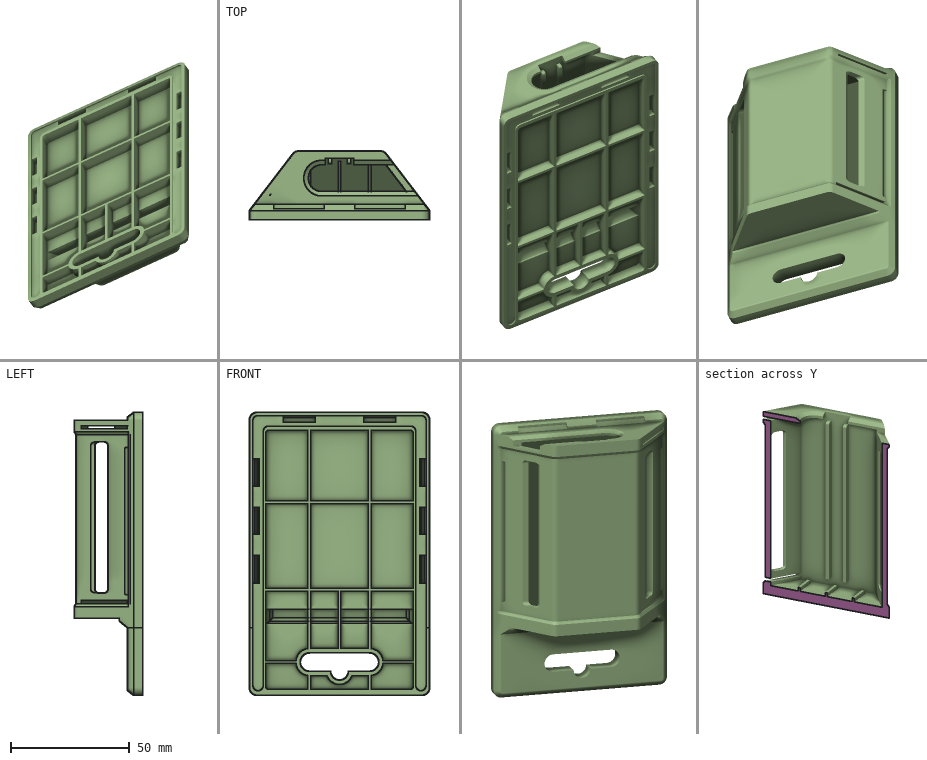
import cadquery as cq
import math

PLATE_WIDTH = 76.0
PLATE_HEIGHT = 119.4
PLATE_CORNER_RADIUS = 3.3
PLATE_EDGE_DEPTH = 3.8
PLATE_BACK = 6.6
PLATE_BACK_FILLET = 1.0
HALF_WIDTH = PLATE_WIDTH / 2

HOUSING_BACK = 29.0
HOUSING_BACK_HALF_WIDTH = 18.7
HOUSING_TOP = 116.0
HOUSING_BOTTOM = 32.5
BACK_CORNER_RADIUS = 3.0
SIDE_SLOPE = (HALF_WIDTH - HOUSING_BACK_HALF_WIDTH) / (HOUSING_BACK - PLATE_EDGE_DEPTH)
SIDE_ANGLE = math.atan(SIDE_SLOPE)

SEAM = 28.5
GUSSET_BACK = 10.0
GUSSET_RISE = 2.9

RECESS_DEPTH = 0.78
RECESS_BOTTOM = 37.5
RECESS_TOP = 111.1
RECESS_RAMP = 1.2
RECESS_FRONT = 5.4
RECESS_FLOOR_FRONT = 6.2

CAVITY_SIDE_WALL = 3.7
CAVITY_BACK = 25.9
CAVITY_BOTTOM = 37.0
CAVITY_TOP = 113.6
GUSSET_WALL = 1.7
HOLLOW_BACK = GUSSET_BACK - GUSSET_WALL
MOUTH_HALF_WIDTH = HALF_WIDTH - CAVITY_SIDE_WALL

OPENING_FRONT = 11.9
OPENING_BACK = 23.2
OPENING_CENTRE_X = -7.5
OPENING_BOTTOM = 112.1
OPENING_BEVEL_WIDTH = 1.9
OPENING_BEVEL_DEPTH = 1.2
LIP_NOTCH_HALF_WIDTH = 6.0
POST_X = 4.0
POST_WIDTH = 1.5
POST_FRONT = 23.6
POST_BOTTOM = 40.6
POST_TOP = 112.3
POST_FILLET = 1.1
FLOOR_RIB_BACK = 24.7
FLOOR_RIB_HEIGHT = 1.7
FLOOR_RIB_FILLET = 1.5

SIDE_SLOT_FRONT = 14.8
SIDE_SLOT_BACK = 20.2
SIDE_SLOT_LEDGE_BACK = 22.0
SIDE_SLOT_BOTTOM = 43.2
SIDE_SLOT_TOP = 106.8
SIDE_SLOT_RADIUS = 1.5
SIDE_SLOT_LEDGE_FRONT = 17.9
SIDE_NOTCH_FRONT = 6.1
SIDE_NOTCH_BACK = 7.8
SIDE_NOTCH_BOTTOM = 42.5
SIDE_NOTCH_TOP = 104.6
SIDE_NOTCH_RADIUS = 0.7
SLIT_SPANS = [(38.7, 40.1), (112.5, CAVITY_TOP)]

EDGE_NOTCH_INNER = 6.5
EDGE_NOTCH_OUTER = 27.7
EDGE_NOTCH_FRONT = 4.7
EDGE_NOTCH_DEPTH = 1.0

RIM = 1.5
GROOVE_DEPTH = 0.6
GROOVE_WIDTH = 4.3
GROOVE_BOTTOM = 2.0
PAD_CORNER_RADIUS = 2.4
PANEL_HALF_WIDTH = HALF_WIDTH - RIM
PANEL_TOP = PLATE_HEIGHT - RIM
PANEL_CORNER_RADIUS = PLATE_CORNER_RADIUS - RIM

CELL_HALF_WIDTH = 31.0
CELL_BOTTOM = 2.6
CELL_TOP = 111.7
CELL_FLOOR = 4.5
CELL_CORNER_RADIUS = 1.2
RIB_WIDTH = 1.2
RIB_X = 12.8
CROSS_RIB_UPPER = 81.4
CROSS_RIB_MIDDLE = 44.5
HOLLOW_BOTTOM = 30.5
HOLLOW_TOP = 36.3
HOLLOW_LEDGE = 1.0

KEYHOLE_Z = 14.1
KEYHOLE_LENGTH = 33.0
KEYHOLE_HEIGHT = 7.6
KEYHOLE_NOTCH_RADIUS = 3.7
KEYHOLE_WALL = 1.9

SIDE_WINDOW_SPANS = [(47.4, 59.1), (68.0, 79.3), (88.2, 99.7)]
SIDE_WINDOW_INNER = 33.9
CATCH_OUTER = 35.8
CATCH_APEX = 34.6
CATCH_DEPTH = 1.4
TOP_WINDOW_INNER = 10.3
TOP_WINDOW_OUTER = 23.8
TOP_WINDOW_BOTTOM = 115.2
WEDGE_HEIGHT = 0.8
WEDGE_DEPTH = 0.6

SIDES = (-1, 1)


def block(x_span, y_span, z_span):
    """Box between two limits on each axis."""
    spans = (x_span, y_span, z_span)
    size = [max(span) - min(span) for span in spans]
    corner = cq.Vector(*[min(span) for span in spans])
    return cq.Workplane(cq.Solid.makeBox(*size, corner))


def rounded_slab(half_width, z_span, y_span, radius):
    """Block with its four corners rounded as seen along Y."""
    return block((-half_width, half_width), y_span, z_span).edges("|Y").fillet(radius)


def prism_along_x(points, x_span):
    """Prism along X from a (Y, Z) outline."""
    start, end = min(x_span), max(x_span)
    return cq.Workplane("YZ", origin=(start, 0, 0)).polyline(points).close().extrude(end - start)


def outer_half_width(y):
    """Half width of the sloping outside at depth y."""
    return HALF_WIDTH - SIDE_SLOPE * (y - PLATE_EDGE_DEPTH)


def bevelled_plate():
    """Whole plate with its straight edge and the bevel behind it."""
    depth = PLATE_BACK - PLATE_EDGE_DEPTH
    plane = cq.Plane(origin=(0, PLATE_EDGE_DEPTH, PLATE_HEIGHT / 2), xDir=(-1, 0, 0), normal=(0, 1, 0))
    outline = cq.Sketch().rect(PLATE_WIDTH, PLATE_HEIGHT).vertices().fillet(PLATE_CORNER_RADIUS)
    edge = cq.Workplane(plane).placeSketch(outline).extrude(-PLATE_EDGE_DEPTH)
    bevel = cq.Workplane(plane).placeSketch(outline).extrude(depth, taper=math.degrees(SIDE_ANGLE))
    return edge.union(bevel)


def panel():
    """Part of the back plate that lies inside the housing rim."""
    bottom = SEAM - 2 * PANEL_CORNER_RADIUS
    slab = rounded_slab(PANEL_HALF_WIDTH, (bottom, PANEL_TOP), (0, PLATE_EDGE_DEPTH), PANEL_CORNER_RADIUS)
    return slab.intersect(above_seam())


def above_seam():
    """Space above the seam, as wide and deep as the whole part."""
    return block((-HALF_WIDTH, HALF_WIDTH), (0, HOUSING_BACK), (SEAM, PLATE_HEIGHT))


def tapered_slice(front_half_width, y_span, z_span):
    """Block whose sides close in towards the back as steeply as the outside."""
    front, back = y_span
    bottom, top = z_span
    back_half_width = front_half_width - SIDE_SLOPE * (back - front)
    outline = [
        (-front_half_width, front),
        (front_half_width, front),
        (back_half_width, back),
        (-back_half_width, back),
    ]
    return cq.Workplane("XY", origin=(0, 0, bottom)).polyline(outline).close().extrude(top - bottom)


def tray():
    """Raised rear part of the back plate that plugs the mouth of the cavity."""
    return tapered_slice(MOUTH_HALF_WIDTH, (PLATE_EDGE_DEPTH, PLATE_BACK), (SEAM, CAVITY_TOP))


def gusset_hollow():
    """Hollow that sinks through the recess floor into the gusset, sloping like its outside."""
    slope_start = CELL_FLOOR + HOLLOW_LEDGE
    slope_rise = (HOLLOW_BACK - slope_start) * GUSSET_RISE / (GUSSET_BACK - PLATE_BACK)
    outline = [
        (CELL_FLOOR, HOLLOW_BOTTOM),
        (slope_start, HOLLOW_BOTTOM),
        (HOLLOW_BACK, HOLLOW_BOTTOM + slope_rise),
        (HOLLOW_BACK, HOLLOW_TOP),
        (CELL_FLOOR, HOLLOW_TOP),
    ]
    hollow = prism_along_x(outline, (-HALF_WIDTH, HALF_WIDTH))
    return hollow.intersect(tapered_slice(CELL_HALF_WIDTH, (CELL_FLOOR, HOLLOW_BACK), (SEAM, HOLLOW_TOP)))


def side_catches():
    """V-shaped hollows behind the side windows."""
    tools = cq.Workplane()
    for side in SIDES:
        outline = [
            (side * SIDE_WINDOW_INNER, PLATE_EDGE_DEPTH),
            (side * CATCH_APEX, PLATE_EDGE_DEPTH + CATCH_DEPTH),
            (side * CATCH_OUTER, PLATE_EDGE_DEPTH),
        ]
        for bottom, top in SIDE_WINDOW_SPANS:
            profile = cq.Workplane("XY", origin=(0, 0, bottom)).polyline(outline).close()
            tools = tools.add(profile.extrude(top - bottom))
    return tools.combine()


def housing_section(z, inset):
    """Closed outline across the housing; inset sinks the sides and back into the recess."""
    side_inset = inset / math.cos(SIDE_ANGLE)
    back = HOUSING_BACK - inset
    corner_x = outer_half_width(back) - side_inset
    turn = math.pi / 2 - SIDE_ANGLE
    tangent = BACK_CORNER_RADIUS * math.tan(turn / 2)
    centre = (corner_x - tangent, back - BACK_CORNER_RADIUS)
    arc_start = (corner_x + tangent * math.sin(SIDE_ANGLE), back - tangent * math.cos(SIDE_ANGLE))
    arc_middle = (
        centre[0] + BACK_CORNER_RADIUS * math.sin(turn / 2),
        centre[1] + BACK_CORNER_RADIUS * math.cos(turn / 2),
    )
    arc_end = (centre[0], back)

    def mirrored(point):
        return (-point[0], point[1])

    front = (HALF_WIDTH, PLATE_EDGE_DEPTH)
    step_start = (outer_half_width(RECESS_FRONT), RECESS_FRONT)
    step_end = (outer_half_width(RECESS_FLOOR_FRONT) - side_inset, RECESS_FLOOR_FRONT)
    outline = (
        cq.Workplane("XY", origin=(0, 0, z))
        .moveTo(*front)
        .lineTo(*step_start)
        .lineTo(*step_end)
        .lineTo(*arc_start)
        .threePointArc(arc_middle, arc_end)
        .lineTo(*mirrored(arc_end))
        .threePointArc(mirrored(arc_middle), mirrored(arc_start))
        .lineTo(*mirrored(step_end))
        .lineTo(*mirrored(step_start))
        .lineTo(*mirrored(front))
        .close()
    )
    return outline.val()


def housing_block():
    """Solid trapezoid with the wrap-round recess and the gusset under it."""
    sections = [
        housing_section(SEAM, 0),
        housing_section(RECESS_BOTTOM, 0),
        housing_section(RECESS_BOTTOM + RECESS_RAMP, RECESS_DEPTH),
        housing_section(RECESS_TOP - RECESS_RAMP, RECESS_DEPTH),
        housing_section(RECESS_TOP, 0),
        housing_section(HOUSING_TOP, 0),
    ]
    body = cq.Workplane(cq.Solid.makeLoft(sections, True))
    under_gusset = [
        (PLATE_BACK, SEAM),
        (GUSSET_BACK, SEAM + GUSSET_RISE),
        (GUSSET_BACK, HOUSING_BOTTOM),
        (HOUSING_BACK, HOUSING_BOTTOM),
        (HOUSING_BACK, SEAM),
    ]
    return body.cut(prism_along_x(under_gusset, (-HALF_WIDTH, HALF_WIDTH)))


def opening_outline(z, margin):
    """Slot outline, round at its -X end and running out past the +X side."""
    radius = (OPENING_BACK - OPENING_FRONT) / 2 + margin
    middle = (OPENING_BACK + OPENING_FRONT) / 2
    return (
        cq.Workplane("XY", origin=(0, 0, z))
        .moveTo(PLATE_WIDTH, middle - radius)
        .lineTo(OPENING_CENTRE_X, middle - radius)
        .threePointArc((OPENING_CENTRE_X - radius, middle), (OPENING_CENTRE_X, middle + radius))
        .lineTo(PLATE_WIDTH, middle + radius)
        .close()
    )


def top_opening():
    """Slot through the top wall with its bevelled edge and the notch in its rear lip."""
    slot = opening_outline(OPENING_BOTTOM, 0).extrude(HOUSING_TOP - OPENING_BOTTOM)
    bevel_start = opening_outline(HOUSING_TOP - OPENING_BEVEL_DEPTH, 0).val()
    bevel_end = opening_outline(HOUSING_TOP, OPENING_BEVEL_WIDTH).val()
    bevel = cq.Workplane(cq.Solid.makeLoft([bevel_start, bevel_end], True))
    notch = block(
        (-LIP_NOTCH_HALF_WIDTH, LIP_NOTCH_HALF_WIDTH),
        (OPENING_FRONT, CAVITY_BACK),
        (OPENING_BOTTOM, HOUSING_TOP),
    )
    return slot.union(bevel).union(notch)


def side_openings(side):
    """Long slot and front notch of one sloping side, each with an upright inner ledge."""
    outside = side * HALF_WIDTH
    slot = block((0, outside), (SIDE_SLOT_FRONT, SIDE_SLOT_BACK), (SIDE_SLOT_BOTTOM, SIDE_SLOT_TOP))
    slot = slot.edges("|X").fillet(SIDE_SLOT_RADIUS)
    recess_inset = RECESS_DEPTH / math.cos(SIDE_ANGLE)

    def ledge(y_span, z_span, radius):
        inner_x = outer_half_width(max(y_span)) - recess_inset
        return block((side * inner_x, outside), y_span, z_span).edges("|Y").fillet(radius)

    slot_depth = (SIDE_SLOT_LEDGE_FRONT, SIDE_SLOT_LEDGE_BACK)
    slot_ledge = ledge(slot_depth, (SIDE_SLOT_BOTTOM, SIDE_SLOT_TOP), SIDE_SLOT_RADIUS)
    notch_depth = (SIDE_NOTCH_FRONT, SIDE_NOTCH_BACK)
    notch = ledge(notch_depth, (SIDE_NOTCH_BOTTOM, SIDE_NOTCH_TOP), SIDE_NOTCH_RADIUS)
    return slot.union(slot_ledge).union(notch)


def edge_notch(side):
    """Sunken strip in the bevel along the top edge."""
    def bevel_z(y):
        return PLATE_HEIGHT - SIDE_SLOPE * (y - PLATE_EDGE_DEPTH)

    outline = [
        (EDGE_NOTCH_FRONT, PLATE_HEIGHT),
        (EDGE_NOTCH_FRONT, bevel_z(EDGE_NOTCH_FRONT) - EDGE_NOTCH_DEPTH),
        (GUSSET_BACK, bevel_z(GUSSET_BACK) - EDGE_NOTCH_DEPTH),
        (GUSSET_BACK, PLATE_HEIGHT),
    ]
    tool = prism_along_x(outline, (side * EDGE_NOTCH_INNER, side * EDGE_NOTCH_OUTER))
    floor_end = PLATE_EDGE_DEPTH + (PLATE_HEIGHT - EDGE_NOTCH_DEPTH - HOUSING_TOP) / SIDE_SLOPE
    return tool.intersect(block((-HALF_WIDTH, HALF_WIDTH), (0, floor_end), (0, PLATE_HEIGHT)))


def post(side):
    """Upright rib on the rear wall of the cavity."""
    x = side * POST_X
    body = block(
        (x - POST_WIDTH / 2, x + POST_WIDTH / 2),
        (POST_FRONT, CAVITY_BACK),
        (POST_BOTTOM, POST_TOP),
    )
    return body.edges("|X and >Z and <Y").fillet(POST_FILLET)


def floor_rib(x):
    """Low rib on the cavity floor with a rounded rear end."""
    body = block(
        (x - RIB_WIDTH / 2, x + RIB_WIDTH / 2),
        (HOLLOW_BACK, FLOOR_RIB_BACK),
        (CAVITY_BOTTOM, CAVITY_BOTTOM + FLOOR_RIB_HEIGHT),
    )
    return body.edges("|X and >Z and >Y").fillet(FLOOR_RIB_FILLET)


def top_wedge(side):
    """Small slope under the rim inside a top window."""
    outline = [
        (PLATE_EDGE_DEPTH, PANEL_TOP),
        (PLATE_EDGE_DEPTH - WEDGE_DEPTH, PANEL_TOP),
        (PLATE_EDGE_DEPTH, PANEL_TOP - WEDGE_HEIGHT),
    ]
    return prism_along_x(outline, (side * TOP_WINDOW_INNER, side * TOP_WINDOW_OUTER))


def rim():
    """Upper part of the plate; its bevel gives way to the recess along the sides."""
    plate = bevelled_plate().intersect(above_seam())
    bevel_depth = (PLATE_EDGE_DEPTH, PLATE_BACK)
    return plate.cut(block((-HALF_WIDTH, HALF_WIDTH), bevel_depth, (RECESS_BOTTOM, RECESS_TOP)))


def make_housing():
    """Rim and hollow trapezoid with all their openings."""
    body = rim().union(housing_block())
    body = body.cut(panel())
    body = body.cut(tray())
    cavity_depth = (PLATE_EDGE_DEPTH, CAVITY_BACK)
    body = body.cut(tapered_slice(MOUTH_HALF_WIDTH, cavity_depth, (CAVITY_BOTTOM, CAVITY_TOP)))
    body = body.cut(gusset_hollow())
    body = body.cut(side_catches())
    body = body.cut(top_opening())
    for bottom, top in SLIT_SPANS:
        body = body.cut(block((-HALF_WIDTH, 0), (PLATE_BACK, CAVITY_BACK), (bottom, top)))
    for side in SIDES:
        body = body.cut(side_openings(side)).cut(edge_notch(side))
        body = body.union(post(side)).union(top_wedge(side))
    for x in (-RIB_X, 0, RIB_X):
        body = body.union(floor_rib(x))
    return body


def groove():
    """Shallow U-shaped groove between the rim and the pad, with round lower ends."""
    depth = (0, GROOVE_DEPTH)
    leg_radius = GROOVE_WIDTH / 2
    leg_middle = GROOVE_BOTTOM + leg_radius
    outer = rounded_slab(PANEL_HALF_WIDTH, (-leg_middle, PANEL_TOP), depth, PANEL_CORNER_RADIUS)
    pad_half_width = PANEL_HALF_WIDTH - GROOVE_WIDTH
    pad = rounded_slab(pad_half_width, (-leg_middle, PANEL_TOP - GROOVE_WIDTH), depth, PAD_CORNER_RADIUS)
    ring = outer.cut(pad).cut(block((-HALF_WIDTH, HALF_WIDTH), depth, (-leg_middle, leg_middle)))
    leg_x = PANEL_HALF_WIDTH - leg_radius
    ends = (
        cq.Workplane("XZ")
        .pushPoints([(side * leg_x, leg_middle) for side in SIDES])
        .circle(leg_radius)
        .extrude(-GROOVE_DEPTH)
    )
    return ring.union(ends)


def keyhole(margin, depth):
    """Horizontal slot with a round notch below it, grown by a margin."""
    height = KEYHOLE_HEIGHT + 2 * margin
    slot = cq.Workplane("XZ", origin=(0, 0, KEYHOLE_Z)).slot2D(KEYHOLE_LENGTH + 2 * margin, height)
    notch_z = KEYHOLE_Z - KEYHOLE_HEIGHT / 2
    notch = cq.Workplane("XZ", origin=(0, 0, notch_z)).circle(KEYHOLE_NOTCH_RADIUS + margin)
    return slot.extrude(-depth).union(notch.extrude(-depth))


def upright_ribs(back):
    """Three upright ribs that reach back to a given depth; the middle one is shorter."""
    half = RIB_WIDTH / 2
    ribs = block((-half, half), (0, back), (KEYHOLE_Z, CROSS_RIB_MIDDLE))
    for side in SIDES:
        x = side * RIB_X
        ribs = ribs.union(block((x - half, x + half), (0, back), (CELL_BOTTOM, CELL_TOP)))
    return ribs


def rib_grid():
    """Ribs of the front recess, without the keyhole wall."""
    half = RIB_WIDTH / 2
    depth = (0, CELL_FLOOR)
    ribs = upright_ribs(CELL_FLOOR)
    for z in (CROSS_RIB_UPPER, CROSS_RIB_MIDDLE, KEYHOLE_Z):
        ribs = ribs.union(block((-CELL_HALF_WIDTH, CELL_HALF_WIDTH), depth, (z - half, z + half)))
    return ribs


def cells():
    """Front recess between the ribs and round the keyhole wall."""
    recess = rounded_slab(CELL_HALF_WIDTH, (CELL_BOTTOM, CELL_TOP), (0, CELL_FLOOR), CELL_CORNER_RADIUS)
    return recess.cut(rib_grid()).cut(keyhole(KEYHOLE_WALL, CELL_FLOOR))


def windows():
    """Snap windows along the sides and the top of the panel."""
    depth = (0, PLATE_EDGE_DEPTH)
    tools = cq.Workplane()
    for side in SIDES:
        for span in SIDE_WINDOW_SPANS:
            tools = tools.add(block((side * SIDE_WINDOW_INNER, side * HALF_WIDTH), depth, span))
        top_x = (side * TOP_WINDOW_INNER, side * TOP_WINDOW_OUTER)
        tools = tools.add(block(top_x, depth, (TOP_WINDOW_BOTTOM, PANEL_TOP)))
    return tools.combine()


def make_back_plate():
    """Lower end of the plate with the ribbed panel that closes the housing."""
    body = bevelled_plate().cut(above_seam())
    body = body.faces(">Y").edges("not >Z").fillet(PLATE_BACK_FILLET)
    body = body.union(panel()).union(tray())
    body = body.cut(groove()).cut(cells())
    body = body.cut(gusset_hollow().cut(upright_ribs(HOLLOW_BACK)))
    body = body.union(gusset_hollow().intersect(upright_ribs(HOLLOW_BACK)))
    body = body.cut(keyhole(0, PLATE_BACK))
    return body.cut(windows()).cut(side_catches())


housing = make_housing()
back_plate = make_back_plate()
result = cq.Compound.makeCompound([housing.val(), back_plate.val()])